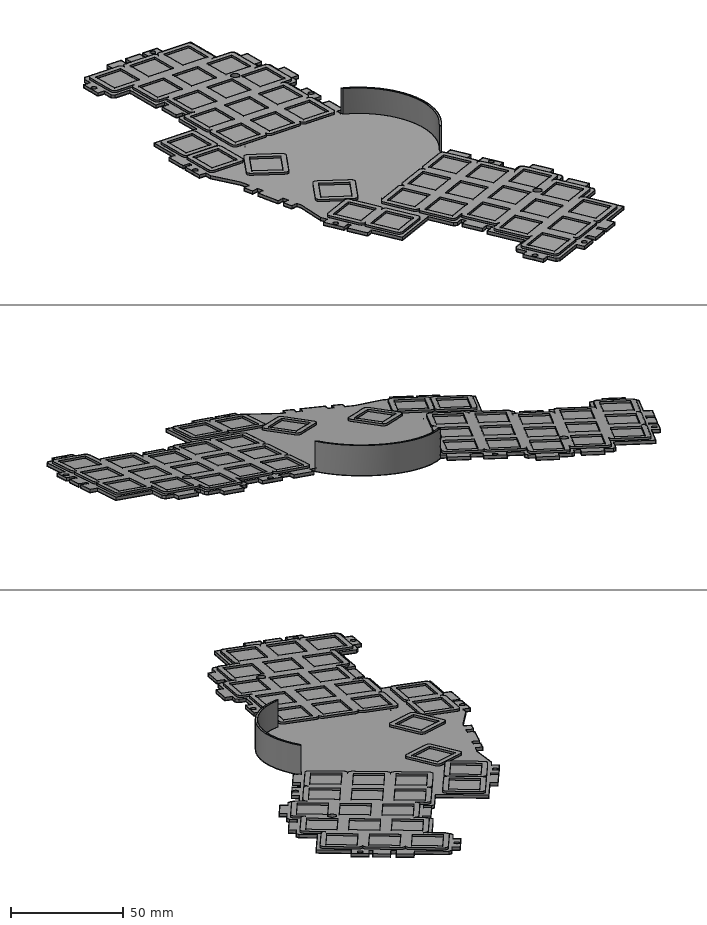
import cadquery as cq
import math

KEY_PITCH = 19.05
POCKET = 13.95
PAD_RADIUS = 2.0
TILT = 12.0

PLATE_TOP = 1.6
PAD_TOP = 2.6
WALL_TOP = 14.2
WALL_THICKNESS = 1.0
MARGIN = 1.65

INNER_COLUMN_U = -46.6
HOME_ROW_V = -2.6
QUARTER = KEY_PITCH / 4
COLUMN_STAGGER = [0, 0, QUARTER, 0, -2 * QUARTER]
ROW_OFFSETS = [-KEY_PITCH, 0, KEY_PITCH]
THUMB_U = [INNER_COLUMN_U - QUARTER, INNER_COLUMN_U - QUARTER + KEY_PITCH]
THUMB_V = HOME_ROW_V - 2.25 * KEY_PITCH
THUMB_SLIT = 0.3

DIAMOND_X = 20.3
DIAMOND_Y = -26.9
DIAMOND_TILT = 45.0

TAB_WIDTH = 10.5
SIDE_TAB_WIDTH = 8.0
TAB_REACH = 5.23
SIDE_TAB_REACH = 5.7
TAB_HOLE = 2.5
TAB_HOLE_REACH = 3.5
TOP_TABS = [(0, -44.0), (1, -60.4), (2, -83.3), (3, -104.2)]
BOTTOM_TABS = [(2, -84.4), (4, -123.1)]
THUMB_TABS_U = [-41.7, -29.7]
SIDE_TABS_V = [-1.6, -11.2, -21.7]
HOLED_TOP_COLUMN = 1
HOLED_BOTTOM_COLUMN = 4
HOLED_SIDE_TAB_LEFT = 0
HOLED_SIDE_TAB_RIGHT = 2

THROUGH_HOLE = 4.0
THROUGH_HOLE_UV = (-93.4, 12.2)
CORNER_CHAMFER = 1.3
CHAMFERED_SIDES = {1: "<Y", 2: ">Y", 3: ">Y", 4: "<Y"}

ARC_END = (29.55, 34.6)
ARC_PEAK_Y = 49.5
FRONT_Y = -47.1
FRONT_HALF = 17.8
FRONT_TAB_REACH = 3.4
FRONT_TABS = [(-10.5, 5.0), (1.0, 12.0), (12.5, 5.0)]

HALF_PAD = KEY_PITCH / 2
HALF_COLUMN = 1.5 * KEY_PITCH


def column_centre(index):
    return INNER_COLUMN_U - index * KEY_PITCH, HOME_ROW_V + COLUMN_STAGGER[index]


def block(u_min, u_max, v_min, v_max, height):
    """Box standing on the underside of the part."""
    size_u = u_max - u_min
    size_v = v_max - v_min
    box = cq.Workplane("XY").box(size_u, size_v, height, centered=False)
    return box.translate((u_min, v_min, 0))


def column_plate(index):
    """Base plate under one column of three keys."""
    u, v = column_centre(index)
    half_u = HALF_PAD + MARGIN
    half_v = HALF_COLUMN + MARGIN
    plate = block(u - half_u, u + half_u, v - half_v, v + half_v, PLATE_TOP)
    if index in CHAMFERED_SIDES:
        plate = plate.edges("|Z and " + CHAMFERED_SIDES[index]).chamfer(CORNER_CHAMFER)
    return plate


def thumb_plate():
    """Base plate under the two thumb keys, reaching back to the main columns."""
    half = HALF_PAD + MARGIN
    return block(THUMB_U[0] - half, THUMB_U[1] + half, THUMB_V - half, THUMB_V + KEY_PITCH, PLATE_TOP)


def tab_hole(u, v):
    return cq.Workplane("XY").center(u, v).circle(TAB_HOLE / 2).extrude(PLATE_TOP)


def row_tab(u, pad_edge_v, direction, holed):
    """Tab on a plate edge that runs along the rows; direction is +1 to the rear, -1 to the front."""
    end = pad_edge_v + direction * TAB_REACH
    tab = block(u - TAB_WIDTH / 2, u + TAB_WIDTH / 2, min(pad_edge_v, end), max(pad_edge_v, end), PLATE_TOP)
    if holed:
        tab = tab.cut(tab_hole(u, pad_edge_v + direction * TAB_HOLE_REACH))
    return tab


def side_tab(v, holed):
    """Tab on the outer end of the half."""
    pad_edge = column_centre(len(COLUMN_STAGGER) - 1)[0] - HALF_PAD
    tab = block(pad_edge - SIDE_TAB_REACH, pad_edge, v - SIDE_TAB_WIDTH / 2, v + SIDE_TAB_WIDTH / 2, PLATE_TOP)
    if holed:
        tab = tab.cut(tab_hole(pad_edge - TAB_HOLE_REACH, v))
    return tab


def half_plate(holed_side_tab):
    """Base plate of the left half with all its tabs."""
    plate = thumb_plate()
    for index in range(len(COLUMN_STAGGER)):
        plate = plate.union(column_plate(index))
    for index, u in TOP_TABS:
        edge = column_centre(index)[1] + HALF_COLUMN
        plate = plate.union(row_tab(u, edge, 1, index == HOLED_TOP_COLUMN))
    for index, u in BOTTOM_TABS:
        edge = column_centre(index)[1] - HALF_COLUMN
        plate = plate.union(row_tab(u, edge, -1, index == HOLED_BOTTOM_COLUMN))
    for u in THUMB_TABS_U:
        plate = plate.union(row_tab(u, THUMB_V - HALF_PAD, -1, u == THUMB_TABS_U[-1]))
    for number, v in enumerate(SIDE_TABS_V):
        plate = plate.union(side_tab(v, number == holed_side_tab))
    return plate


def key_points():
    points = [(u, THUMB_V) for u in THUMB_U]
    for index in range(len(COLUMN_STAGGER)):
        u, v = column_centre(index)
        points += [(u, v + offset) for offset in ROW_OFFSETS]
    return points


def key_pad():
    """Raised pad around one switch pocket, centred on the origin."""
    pad = cq.Workplane("XY").rect(KEY_PITCH, KEY_PITCH).extrude(PAD_TOP)
    return pad.edges("|Z").fillet(PAD_RADIUS)


def key_pocket():
    depth = PAD_TOP - PLATE_TOP
    return cq.Workplane("XY").workplane(offset=PLATE_TOP).rect(POCKET, POCKET).extrude(depth)


def seam_fill(index):
    """Closes the corner gaps inside the pads where a column meets its outer neighbour."""
    u, v = column_centre(index)
    neighbour_v = column_centre(index + 1)[1]
    seam_u = u - HALF_PAD
    reach = HALF_COLUMN - PAD_RADIUS
    low = max(v, neighbour_v) - reach
    high = min(v, neighbour_v) + reach
    return block(seam_u - PAD_RADIUS, seam_u + PAD_RADIUS, low, high, PAD_TOP)


def place_left(shape):
    return shape.rotate((0, 0, 0), (0, 0, 1), -TILT)


def place_right(shape):
    return place_left(shape).mirror("YZ")


def left_point(u, v):
    """Part coordinates of a point given in the frame of the left half."""
    angle = math.radians(TILT)
    x = u * math.cos(angle) + v * math.sin(angle)
    y = v * math.cos(angle) - u * math.sin(angle)
    return x, y


def key_half(holed_side_tab):
    """Plate and raised pads of the left half, before the pockets are cut."""
    half = half_plate(holed_side_tab)
    for u, v in key_points():
        half = half.union(key_pad().translate((u, v, 0)))
    for index in range(len(COLUMN_STAGGER) - 1):
        half = half.union(seam_fill(index))
    return half


def key_cuts():
    """Switch pockets and the through hole of one half."""
    cuts = cq.Workplane("XY").center(*THROUGH_HOLE_UV).circle(THROUGH_HOLE / 2).extrude(PAD_TOP)
    for u, v in key_points():
        cuts = cuts.add(key_pocket().translate((u, v, 0)))
    return cuts.combine()


def thumb_slit():
    """Narrow gap that separates the two thumb pads above the plate."""
    u = (THUMB_U[0] + THUMB_U[1]) / 2
    slit = block(u - THUMB_SLIT / 2, u + THUMB_SLIT / 2, THUMB_V - HALF_PAD, THUMB_V + HALF_PAD, PAD_TOP)
    return slit.translate((0, 0, PLATE_TOP))


def centre_plate():
    """Middle of the base plate, with its curved rear edge and its front tabs."""
    arc_x, arc_y = ARC_END
    corner_x, corner_y = left_point(THUMB_U[1] + HALF_PAD + MARGIN, THUMB_V - HALF_PAD - MARGIN)
    home_x, home_y = left_point(INNER_COLUMN_U, HOME_ROW_V)
    plate = (
        cq.Workplane("XY")
        .moveTo(-arc_x, arc_y)
        .threePointArc((0, ARC_PEAK_Y), (arc_x, arc_y))
        .lineTo(-home_x, home_y)
        .lineTo(-corner_x, corner_y)
        .lineTo(FRONT_HALF, FRONT_Y)
        .lineTo(-FRONT_HALF, FRONT_Y)
        .lineTo(corner_x, corner_y)
        .lineTo(home_x, home_y)
        .close()
        .extrude(PLATE_TOP)
    )
    for x, width in FRONT_TABS:
        plate = plate.union(block(x - width / 2, x + width / 2, FRONT_Y - FRONT_TAB_REACH, FRONT_Y, PLATE_TOP))
    return plate


def rear_wall():
    """Thin curved wall that follows the rear edge of the plate."""
    arc_x, arc_y = ARC_END
    rise = ARC_PEAK_Y - arc_y
    radius = (arc_x ** 2 + rise ** 2) / (2 * rise)
    centre_y = ARC_PEAK_Y - radius
    ring = cq.Workplane("XY").center(0, centre_y).circle(radius).circle(radius - WALL_THICKNESS).extrude(WALL_TOP)
    return ring.intersect(block(-arc_x, arc_x, arc_y, ARC_PEAK_Y, WALL_TOP))


def diamond(shape, side):
    """Turns a key shape by 45 degrees and moves it to the left (-1) or right (+1) diamond key."""
    turned = shape.rotate((0, 0, 0), (0, 0, 1), DIAMOND_TILT)
    return turned.translate((side * DIAMOND_X, DIAMOND_Y, 0))


result = centre_plate().union(rear_wall())
result = result.union(place_left(key_half(HOLED_SIDE_TAB_LEFT)))
result = result.union(place_right(key_half(HOLED_SIDE_TAB_RIGHT)))
for side in (-1, 1):
    result = result.union(diamond(key_pad(), side))
for side in (-1, 1):
    result = result.cut(diamond(key_pocket(), side))
result = result.cut(place_left(key_cuts())).cut(place_right(key_cuts()))
result = result.cut(place_left(thumb_slit()))